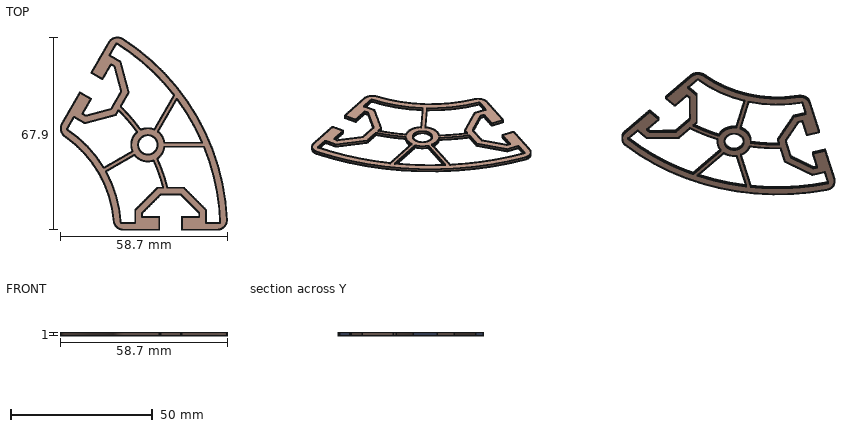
import cadquery as cq
import math

thickness = 1.0
sector_angle = 60.0
inner_radius = 40.0
outer_radius = 80.0
corner_radius = 3.5
wall = 2.5
mid_radius = (inner_radius + outer_radius) / 2
mid_angle = sector_angle / 2

hub_radius = 5.9
bore_radius = 3.4
rib_width = 1.5
outer_rib_angles = (0.0, sector_angle)
inner_rib_angle = 180.0 + mid_angle

channel_width = 25.1
channel_flat = 9.2
channel_height = 14.95
lip_height = 4.55
shoulder_angle = 45.0
slot_opening = 8.0


def polar(radius, angle):
    """Point at a radius and an angle in degrees."""
    radians = math.radians(angle)
    return (radius * math.cos(radians), radius * math.sin(radians))


def sector(inner, outer, side_inset):
    """Ring sector whose straight sides are moved inwards by side_inset."""
    inner_start = math.degrees(math.asin(side_inset / inner))
    outer_start = math.degrees(math.asin(side_inset / outer))
    return (
        cq.Workplane("XY")
        .moveTo(*polar(inner, inner_start))
        .lineTo(*polar(outer, outer_start))
        .threePointArc(polar(outer, mid_angle), polar(outer, sector_angle - outer_start))
        .lineTo(*polar(inner, sector_angle - inner_start))
        .threePointArc(polar(inner, mid_angle), polar(inner, inner_start))
        .close()
        .extrude(thickness)
    )


def channel_prism(width, flat, bottom, top):
    """Channel section with a flat top and sloping shoulders, standing on the lower side."""
    half_width = width / 2
    half_flat = flat / 2
    shoulder = top - (half_width - half_flat) * math.tan(math.radians(shoulder_angle))
    points = [
        (-half_width, bottom),
        (half_width, bottom),
        (half_width, shoulder),
        (half_flat, top),
        (-half_flat, top),
        (-half_width, shoulder),
    ]
    return (
        cq.Workplane("XY")
        .center(mid_radius, 0)
        .polyline(points)
        .close()
        .extrude(thickness)
    )


def on_both_sides(body):
    """The body together with its mirror image across the sector's centre line."""
    other = body.mirror("XZ").rotate((0, 0, 0), (0, 0, 1), sector_angle)
    return body.union(other)


def straight_rib(angle, length):
    """Rib running from the hub centre in the given direction."""
    return (
        cq.Workplane("XY")
        .box(length, rib_width, thickness, centered=(False, True, False))
        .rotate((0, 0, 0), (0, 0, 1), angle)
        .translate((*hub_centre, 0))
    )


hub_centre = polar(mid_radius, mid_angle)

plate = sector(inner_radius, outer_radius, 0).edges("|Z").fillet(corner_radius)
window = sector(inner_radius + wall, outer_radius - wall, wall)
frame = plate.cut(window)

cavity_width = channel_width - 2 * wall
cavity_flat = channel_flat - 2 * wall * math.tan(math.radians(shoulder_angle / 2))
channels = on_both_sides(channel_prism(channel_width, channel_flat, 0, channel_height))
cavity = channel_prism(cavity_width, cavity_flat, lip_height, channel_height - wall)
opening = (
    cq.Workplane("XY")
    .center(mid_radius, lip_height / 2)
    .rect(slot_opening, lip_height)
    .extrude(thickness)
)
channel_voids = on_both_sides(cavity.union(opening))

rib_length = outer_radius - inner_radius
ribs = sector(mid_radius - rib_width / 2, mid_radius + rib_width / 2, 0)
for rib_angle in (*outer_rib_angles, inner_rib_angle):
    ribs = ribs.union(straight_rib(rib_angle, rib_length))
ribs = ribs.intersect(plate)

hub = cq.Workplane("XY").center(*hub_centre).circle(hub_radius).extrude(thickness)
bore = cq.Workplane("XY").center(*hub_centre).circle(bore_radius).extrude(thickness)

result = frame.union(channels).union(ribs).union(hub).cut(channel_voids).cut(bore)